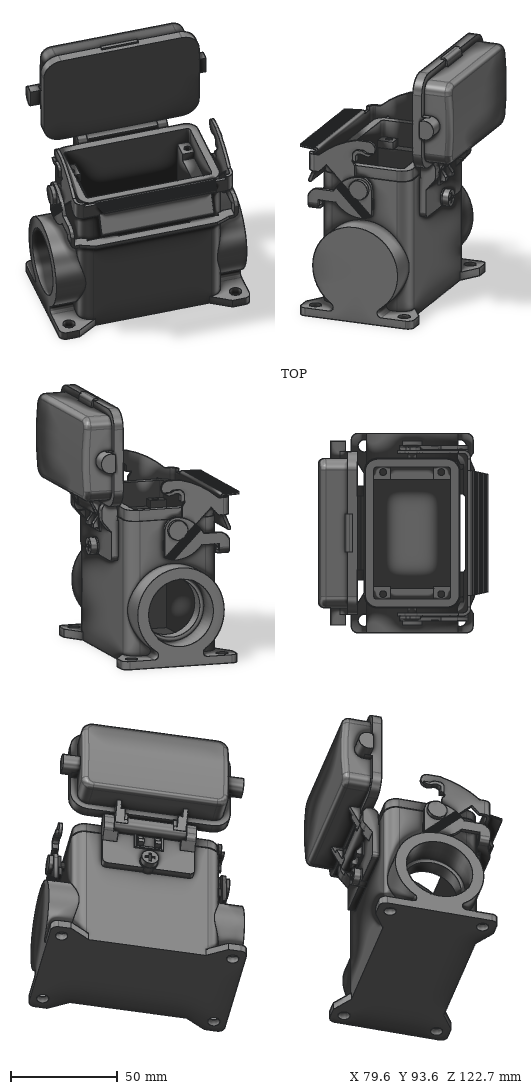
import cadquery as cq
import math


plate_half_x = 28.6
tube_end_y = 46.8
plate_thick = 3.9
plate_corner = 3.2
foot_straight_y = 37.5
foot_root_y = 28.0
foot_hole_radius = 2.8
foot_hole_x = 22.5
foot_hole_y = 40.9

body_half_x = 22.5
body_half_y = 35.1
body_corner = 6.1
body_top = 73.3
rim_bottom = 68.1
rim_inset = 0.5
opening_half_x = 18.0
opening_half_y = 30.9
opening_corner = 1.5
shelf_z = 61.4
shelf_front_y = 25.9
shelf_back_y = 25.0
boss_half_gap = 10.1
boss_top = 65.0
insert_hole_radius = 1.6
insert_hole_depth = 12.3
insert_hole_x = 13.6
insert_hole_y = 28.6

tube_radius = 21.5
tube_z = 25.5
entry_radius = 16.1
inner_entry_radius = 14.1
entry_step_y = 33.1
notch_radius = 2.1

overall_height = 122.7
lid_z = 98.5
flange_x = -30.2
lid_back_x = -25.7
box_half_y = 35.0
box_half_z = 20.1
box_corner = 5.4
flange_rim = 3.2
box_face_x = -44.0
box_face_sag = 1.4
box_fillet = 2.7
peg_x = -33.5
peg_z = 98.2
peg_radius = 4.7
peg_flat_x = -31.2
peg_end_y = 43.1
peg_web_x = -33.9
lid_tab_half_y = 9.0

bracket_face_x = -25.8
bracket_half_y = 22.0
bracket_bottom = 47.0
bracket_top = 66.5
bracket_corner = 2.3
hinge_x = -26.8
hinge_z = 71.5
ear_radius = 3.8
ear_inner_y = 17.3
ear_root_y = 15.1
ear_bottom = 61.0
ear_slope_x = -29.0
ear_slope_top = 64.8

arm_outer_y = 16.9
arm_upper_inner_y = 14.7
arm_step_y = 12.6
arm_inner_y = 10.9
arm_top_x = -35.6
arm_foot_x = -30.4
arm_height = 9.3
pocket_x = -30.7
barrel_z = 70.7
barrel_radius = 3.9
barrel_flat_x = -24.0

clip_half_y = 7.0
clip_bottom = 58.8
clip_depth = 0.9
clip_wall = 1.0
prong_x = -29.0
prong_bottom = 60.3
prong_inner_y = 2.7
prong_outer_y = 5.4
screw_z = 50.7
screw_radius = 4.0
screw_head_x = -29.7
washer_radius = 4.3
washer_thick = 0.7
cross_length = 4.7
cross_width = 1.1
cross_depth = 1.0

pivot_z = 64.2
rivet_radius = 4.7
rivet_end_y = 43.1
pin_radius = 2.1
pin_embed = 1.2
latch_inner_y = 39.3
latch_outer_y = 41.1
lever_inner_y = 37.3
lever_outer_y = 38.8
lip_outer_y = 40.3

latch_round = 5.9
latch_arm_end_x = 26.1
latch_bottom = 51.2
latch_bar_thick = 1.6
latch_bar_end_x = 29.1
latch_bend = 3.2
rest_inner_y = 18.3
rest_outer_y = 29.8
rest_drop = 1.4
rest_overlap = 0.4
latch_tab_x = 21.1
bar_side_x = 23.9
bar_middle_x = 24.9

handle_x = 27.4
handle_bottom = 69.3
handle_top = 77.6
handle_sheet = 1.5
handle_bend = 3.4
grip_end_x = 35.6
grip_root_half_y = 29.3
grip_tip_half_y = 27.5
grip_thick = 1.1
grip_bend = 1.4
grip_gap_end_y = 34.6
grip_gap_bottom = 76.0
flap_top = 70.0

groove_width = 0.5
groove_depth = 0.4


def block(x0, x1, y0, y1, z0, z1):
    """Axis-aligned box between two opposite corners."""
    return cq.Workplane("XY").box(x1 - x0, y1 - y0, z1 - z0, centered=False).translate((x0, y0, z0))


def mirrored_y(shape):
    """The shape joined with its mirror image across the XZ plane."""
    return shape.union(shape.mirror("XZ"))


def side_sheet(profile, y0, y1):
    """Extrude an XZ profile, drawn on a plane that faces -Y, from y0 to y1."""
    return profile.extrude(y0 - y1).translate((0, y0, 0))


def y_cylinder(x, z, radius, y0, y1):
    return side_sheet(cq.Workplane("XZ").center(x, z).circle(radius), y0, y1)


def x_cylinder(y, z, radius, x0, x1):
    return cq.Workplane("YZ").center(y, z).circle(radius).extrude(x1 - x0).translate((x0, 0, 0))


def near_line(start, end):
    """Selector for edges centred within a small margin of an axis-aligned line."""
    margin = 0.1
    low = tuple(value - margin for value in start)
    high = tuple(value + margin for value in end)
    return cq.selectors.BoxSelector(low, high)


def make_mounting_foot():
    """The plate under one tube, with tapered sides that run into the body and two screw holes."""
    foot = (
        cq.Workplane("XY")
        .moveTo(-plate_half_x, -tube_end_y)
        .lineTo(plate_half_x, -tube_end_y)
        .lineTo(plate_half_x, -foot_straight_y)
        .lineTo(body_half_x, -foot_root_y)
        .lineTo(-body_half_x, -foot_root_y)
        .lineTo(-plate_half_x, -foot_straight_y)
        .close()
        .extrude(plate_thick)
    )
    foot = foot.edges("|Z and <Y").fillet(plate_corner)
    holes = (
        cq.Workplane("XY")
        .pushPoints([(-foot_hole_x, -foot_hole_y), (foot_hole_x, -foot_hole_y)])
        .circle(foot_hole_radius)
        .extrude(plate_thick)
    )
    return foot.cut(holes)


def make_entry_tube():
    """One tube with the web that carries it; round notches part the web from the plate."""
    root_y = -body_half_y + body_corner
    notch_z = plate_thick + notch_radius
    centre_gap = tube_radius + notch_radius
    notch_x = math.sqrt(centre_gap**2 - (tube_z - notch_z) ** 2)
    touch = tube_radius / centre_gap
    touch_x = notch_x * touch
    touch_z = tube_z - (tube_z - notch_z) * touch
    web_outline = (
        cq.Workplane("XZ")
        .moveTo(-notch_x, 0)
        .lineTo(notch_x, 0)
        .lineTo(notch_x, notch_z)
        .lineTo(touch_x, touch_z)
        .lineTo(-touch_x, touch_z)
        .lineTo(-notch_x, notch_z)
        .close()
    )
    web = side_sheet(web_outline, -tube_end_y, root_y)
    for x in (-notch_x, notch_x):
        web = web.cut(y_cylinder(x, notch_z, notch_radius, -tube_end_y, root_y))
    return web.union(y_cylinder(0, tube_z, tube_radius, -tube_end_y, root_y))


def make_body():
    """Rounded box housing with feet, tubes, a cavity open at the top and an entry on the -Y side."""
    body = (
        cq.Workplane("XY")
        .rect(2 * body_half_x, 2 * body_half_y)
        .extrude(rim_bottom)
        .edges("|Z")
        .fillet(body_corner)
    )
    rim = (
        cq.Workplane("XY", origin=(0, 0, rim_bottom))
        .rect(2 * (body_half_x - rim_inset), 2 * (body_half_y - rim_inset))
        .extrude(body_top - rim_bottom)
        .edges("|Z")
        .fillet(body_corner - rim_inset)
    )
    body = body.union(rim).union(mirrored_y(make_mounting_foot())).union(mirrored_y(make_entry_tube()))

    opening = (
        cq.Workplane("XY", origin=(0, 0, shelf_z))
        .rect(2 * opening_half_x, 2 * opening_half_y)
        .extrude(body_top - shelf_z)
        .edges("|Z")
        .fillet(opening_corner)
    )
    well = block(-opening_half_x, opening_half_x, -shelf_front_y, shelf_back_y, plate_thick, shelf_z)
    body = body.cut(opening).cut(well)

    for side_x in (-1, 1):
        for side_y in (-1, 1):
            xs = sorted((side_x * boss_half_gap, side_x * (opening_half_x + opening_corner)))
            ys = sorted((side_y * shelf_back_y, side_y * (opening_half_y + opening_corner)))
            body = body.union(block(*xs, *ys, shelf_z, boss_top))
            hole = (
                cq.Workplane("XY", origin=(0, 0, boss_top - insert_hole_depth))
                .center(side_x * insert_hole_x, side_y * insert_hole_y)
                .circle(insert_hole_radius)
                .extrude(insert_hole_depth)
            )
            body = body.cut(hole)

    body = body.cut(y_cylinder(0, tube_z, entry_radius, -tube_end_y, -entry_step_y))
    return body.cut(y_cylinder(0, tube_z, inner_entry_radius, -entry_step_y, -shelf_front_y))


def make_lid():
    """Lid with a slightly domed outer face, a flange, a finger tab and a locking peg at each end."""
    flange_half_y = box_half_y + flange_rim
    flange_half_z = box_half_z + flange_rim
    box_outline = (
        cq.Workplane("XZ")
        .moveTo(lid_back_x, lid_z - box_half_z)
        .lineTo(box_face_x + box_face_sag, lid_z - box_half_z)
        .threePointArc((box_face_x, lid_z), (box_face_x + box_face_sag, lid_z + box_half_z))
        .lineTo(lid_back_x, lid_z + box_half_z)
        .close()
    )
    lid = side_sheet(box_outline, -box_half_y, box_half_y)
    lid = lid.edges("|X").fillet(box_corner).faces("<X").edges().fillet(box_fillet)

    flange = (
        cq.Workplane("YZ", origin=(flange_x, 0, lid_z))
        .rect(2 * flange_half_y, 2 * flange_half_z)
        .extrude(lid_back_x - flange_x)
        .edges("|X")
        .fillet(box_corner + flange_rim)
    )
    tab_outline = (
        cq.Workplane("XZ")
        .moveTo(-28.0, lid_z + box_half_z)
        .lineTo(-31.5, lid_z + box_half_z)
        .lineTo(-31.0, 120.8)
        .threePointArc((-30.5, 122.1), (-29.5, overall_height))
        .lineTo(-28.0, overall_height)
        .close()
    )
    lid = lid.union(flange).union(side_sheet(tab_outline, -lid_tab_half_y, lid_tab_half_y))

    peg = y_cylinder(peg_x, peg_z, peg_radius, -peg_end_y, peg_end_y)
    peg = peg.cut(block(peg_flat_x, 0, -peg_end_y, peg_end_y, peg_z - peg_radius, peg_z + peg_radius))
    peg_web = block(
        peg_web_x, flange_x, -flange_half_y, flange_half_y, peg_z - peg_radius, peg_z + peg_radius
    )
    return lid.union(peg).union(peg_web)


def make_hinge_arms():
    """Two tapered arms under the lid and the barrel that turns between the bracket ears."""

    lid_bottom = lid_z - box_half_z
    flange_bottom = lid_bottom - flange_rim
    slope = (arm_foot_x - arm_top_x) / arm_height

    def arm(inner_y, top_z):
        outline = (
            cq.Workplane("XZ")
            .moveTo(arm_top_x + (lid_bottom - top_z) * slope, top_z)
            .lineTo(arm_foot_x, lid_bottom - arm_height)
            .lineTo(hinge_x, hinge_z - ear_radius)
            .lineTo(hinge_x, top_z)
            .close()
        )
        return side_sheet(outline, inner_y, arm_outer_y)

    pocket = block(box_face_x, pocket_x, arm_inner_y, arm_step_y, barrel_z, flange_bottom)
    lower_arm = arm(arm_inner_y, flange_bottom).cut(pocket)
    arms = mirrored_y(arm(arm_upper_inner_y, lid_bottom).union(lower_arm))
    barrel = y_cylinder(hinge_x, barrel_z, barrel_radius, -ear_inner_y, ear_inner_y)
    barrel = barrel.cut(block(barrel_flat_x, 0, -ear_inner_y, ear_inner_y, bracket_bottom, lid_z))
    return arms.union(barrel)


def make_bracket():
    """Bracket screwed to the -X wall, with two hinge ears, a clip and a cross-slotted screw."""
    wall_x = -body_half_x + rim_inset
    plate = block(
        bracket_face_x, wall_x, -bracket_half_y, bracket_half_y, bracket_bottom, bracket_top
    )
    plate = plate.edges("|X and <Z").fillet(bracket_corner)

    ear_left = hinge_x - ear_radius
    ear_right = hinge_x + ear_radius
    ear_outline = (
        cq.Workplane("XZ")
        .moveTo(bracket_face_x, ear_bottom)
        .lineTo(ear_slope_x, ear_slope_top)
        .threePointArc((-30.2, 66.4), (ear_left, 68.1))
        .lineTo(ear_left, hinge_z)
        .threePointArc((hinge_x, hinge_z + ear_radius), (ear_right, hinge_z))
        .lineTo(ear_right, ear_bottom)
        .close()
    )
    ear = side_sheet(ear_outline, ear_inner_y, bracket_half_y)
    ear_root_outline = (
        cq.Workplane("XZ")
        .moveTo(bracket_face_x, ear_bottom)
        .lineTo(ear_slope_x, ear_slope_top)
        .lineTo(ear_right, ear_slope_top)
        .lineTo(ear_right, ear_bottom)
        .close()
    )
    ear_root = side_sheet(ear_root_outline, ear_root_y, ear_inner_y)
    bracket = plate.union(mirrored_y(ear.union(ear_root)))

    clip_x = bracket_face_x - clip_depth
    frame = block(clip_x, bracket_face_x, -clip_half_y, clip_half_y, clip_bottom, bracket_top)
    window_half_y = clip_half_y - clip_wall
    window = block(
        clip_x, bracket_face_x, -window_half_y, window_half_y, clip_bottom + clip_wall, bracket_top
    )
    prong_outline = (
        cq.Workplane("XZ")
        .moveTo(bracket_face_x, bracket_top)
        .lineTo(prong_x, 62.1)
        .lineTo(prong_x, prong_bottom)
        .lineTo(bracket_face_x, prong_bottom)
        .close()
    )
    prongs = mirrored_y(side_sheet(prong_outline, prong_inner_y, prong_outer_y))
    bracket = bracket.union(frame.cut(window)).union(prongs)

    washer_x = bracket_face_x - washer_thick
    screw = x_cylinder(0, screw_z, washer_radius, washer_x, wall_x)
    screw = screw.union(x_cylinder(0, screw_z, screw_radius, screw_head_x, washer_x))
    for size_y, size_z in ((cross_length, cross_width), (cross_width, cross_length)):
        slot = block(
            screw_head_x,
            screw_head_x + cross_depth,
            -size_y / 2,
            size_y / 2,
            screw_z - size_z / 2,
            screw_z + size_z / 2,
        )
        screw = screw.cut(slot)
    return bracket.union(screw)


def make_latch():
    """Lower lever part: a grooved plate on each side, joined by a bar across the +X side."""
    round_mid = latch_round / math.sqrt(2)
    outline = (
        cq.Workplane("XZ")
        .moveTo(-latch_round, latch_bottom)
        .lineTo(-latch_round, pivot_z)
        .threePointArc((-round_mid, pivot_z + round_mid), (0, pivot_z + latch_round))
        .threePointArc((9.2, 66.4), (13.5, 61.5))
        .lineTo(latch_tab_x, 61.5)
        .threePointArc((24.7, 60.1), (latch_arm_end_x, 57.5))
        .lineTo(latch_arm_end_x, latch_bottom)
        .lineTo(latch_tab_x, latch_bottom)
        .lineTo(latch_tab_x, 56.2)
        .lineTo(12.3, 56.2)
        .threePointArc((7.2, 51.9), (0.6, 49.8))
        .threePointArc((-2.8, 50.1), (-latch_round, latch_bottom))
        .close()
    )
    plate = side_sheet(outline, latch_inner_y, latch_outer_y)

    groove_count = 4
    groove_step = 0.8
    groove_length = 36.8
    first_x = 1.8
    first_z = 58.5
    for i in range(groove_count):
        step = i * groove_step
        groove = (
            cq.Workplane("XY")
            .box(groove_length, 2 * groove_depth, groove_width)
            .rotate((0, 0, 0), (0, 1, 0), -45)
            .translate((first_x + step, latch_outer_y, first_z - step))
        )
        plate = plate.cut(groove)

    bar_outline = (
        cq.Workplane("XY")
        .moveTo(latch_tab_x, latch_outer_y)
        .lineTo(latch_tab_x, body_half_y)
        .lineTo(body_half_x, 32.2)
        .lineTo(bar_side_x, 32.2)
        .lineTo(bar_side_x, rest_inner_y)
        .lineTo(bar_middle_x, 17.2)
        .lineTo(bar_middle_x, 0)
        .lineTo(latch_bar_end_x, 0)
        .lineTo(latch_bar_end_x, 29.8)
        .lineTo(latch_arm_end_x, 36.8)
        .lineTo(latch_arm_end_x, latch_outer_y)
        .close()
    )
    bar = bar_outline.extrude(latch_bar_thick).translate((0, 0, latch_bottom))
    rest = block(
        body_half_x,
        bar_side_x + rest_overlap,
        rest_inner_y,
        rest_outer_y,
        latch_bottom - rest_drop,
        latch_bottom + rest_overlap,
    )
    latch = plate.union(bar).union(rest)
    bend_edge = near_line(
        (latch_tab_x, latch_outer_y, latch_bottom), (latch_arm_end_x, latch_outer_y, latch_bottom)
    )
    latch = latch.edges(bend_edge).edges("|X").fillet(latch_bend)
    return mirrored_y(latch)


def make_lever():
    """Upper lever part: hooked side plates bent round into a handle with a grip and a lower flap."""
    outline = (
        cq.Workplane("XZ")
        .moveTo(-3.4, 87.3)
        .lineTo(2.3, 87.3)
        .threePointArc((12.2, 83.8), (21.6, handle_top))
        .lineTo(handle_x, handle_top)
        .lineTo(handle_x, handle_bottom)
        .lineTo(21.5, handle_bottom)
        .lineTo(17.8, 73.3)
        .lineTo(-1.6, 53.9)
        .lineTo(-5.6, 53.9)
        .lineTo(-5.6, 58.5)
        .lineTo(-3.4, 60.1)
        .lineTo(-3.4, 67.5)
        .lineTo(3.4, 68.7)
        .lineTo(3.4, 74.6)
        .lineTo(4.8, 76.6)
        .lineTo(4.8, 77.2)
        .lineTo(2.3, 77.2)
        .lineTo(2.3, 80.1)
        .threePointArc((0.4, 81.2), (-1.7, 80.6))
        .lineTo(-3.4, 80.4)
        .threePointArc((-6.9, 83.8), (-3.4, 87.3))
        .close()
    )
    plate = side_sheet(outline, lever_inner_y, lever_outer_y)
    lip_outline = (
        cq.Workplane("XZ")
        .moveTo(3.9, 77.2)
        .lineTo(3.9, 80.5)
        .threePointArc((3.2, 82.1), (1.7, 82.8))
        .lineTo(-1.0, 82.8)
        .lineTo(-3.0, 81.7)
        .lineTo(-5.9, 81.7)
        .threePointArc((-4.9, 80.8), (-3.4, 80.4))
        .lineTo(-1.7, 80.6)
        .threePointArc((0.4, 81.2), (2.3, 80.1))
        .lineTo(2.3, 77.2)
        .close()
    )
    plate = plate.union(side_sheet(lip_outline, lever_inner_y, lip_outer_y))

    wall_inner_x = handle_x - handle_sheet

    wall = block(wall_inner_x, handle_x, 0, lever_outer_y, handle_bottom, handle_top)
    grip_gap = block(
        wall_inner_x, handle_x, grip_root_half_y, grip_gap_end_y, grip_gap_bottom, handle_top
    )
    wall = wall.cut(grip_gap)
    half = plate.union(wall)
    bends = (
        (handle_x, lever_outer_y, handle_bend),
        (wall_inner_x, lever_inner_y, handle_bend - handle_sheet),
    )
    for x, y, radius in bends:
        half = half.edges(near_line((x, y, handle_bottom), (x, y, handle_top))).fillet(radius)
    half = mirrored_y(half)

    grip = (
        cq.Workplane("XY", origin=(0, 0, handle_top - grip_thick))
        .moveTo(wall_inner_x, -grip_root_half_y)
        .lineTo(handle_x, -grip_root_half_y)
        .lineTo(grip_end_x, -grip_tip_half_y)
        .lineTo(grip_end_x, grip_tip_half_y)
        .lineTo(handle_x, grip_root_half_y)
        .lineTo(wall_inner_x, grip_root_half_y)
        .close()
        .extrude(grip_thick)
    )
    groove_count = 7
    groove_pitch = 1.04
    for i in range(groove_count):
        x = grip_end_x - (i + 1) * groove_pitch
        grip = grip.cut(
            block(
                x - groove_width / 2,
                x + groove_width / 2,
                -grip_root_half_y,
                grip_root_half_y,
                handle_top - groove_depth,
                handle_top,
            )
        )

    flap_outline = (
        cq.Workplane("XZ")
        .moveTo(wall_inner_x, flap_top)
        .lineTo(handle_x, flap_top)
        .lineTo(31.3, 60.9)
        .threePointArc((30.9, 59.8), (30.0, 60.1))
        .close()
    )
    handle = half.union(grip)
    root_edge = near_line(
        (wall_inner_x, -grip_root_half_y, handle_top), (wall_inner_x, grip_root_half_y, handle_top)
    )
    handle = handle.edges(root_edge).edges("|Y").fillet(grip_bend)
    flap = side_sheet(flap_outline, -grip_tip_half_y, grip_tip_half_y)
    return handle.union(flap)


def make_pivots():
    """Pin and rivet head on each side, holding both lever parts to the body."""
    pin = y_cylinder(0, pivot_z, pin_radius, body_half_y - pin_embed, latch_outer_y)
    rivet_head = y_cylinder(0, pivot_z, rivet_radius, latch_outer_y, rivet_end_y)
    return mirrored_y(pin.union(rivet_head))


result = (
    make_body()
    .union(make_bracket())
    .union(make_hinge_arms())
    .union(make_lid())
    .union(make_latch())
    .union(make_lever())
    .union(make_pivots())
)